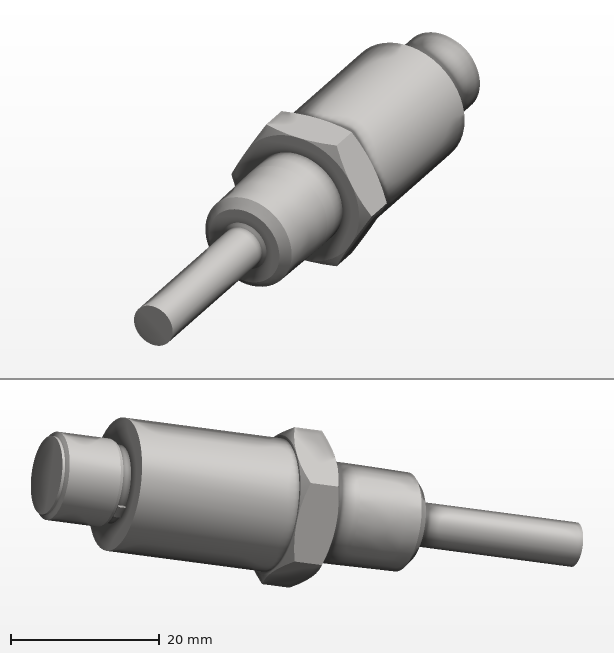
import cadquery as cq
import math

overall_length = 77.4
rear_y = overall_length / 2
front_y = -overall_length / 2

plug_radius = 6.0
neck_radius = 5.35
plug_tip_length = 0.4
plug_rear_chamfer_length = 0.4
plug_length = 8.75
plug_front_chamfer = 0.5
plug_front_radius = 5.8
neck_length = 1.3

body_radius = 9.05
body_length = 23.1

hex_across_flats = 19.0
hex_length = 5.7
hex_chamfer_angle = 30

spigot_radius = 6.9
spigot_straight_length = 4.1
spigot_taper_length = 9.1
spigot_small_radius = 6.7
spigot_chamfer_length = 1.15
spigot_face_radius = 5.5

cable_radius = 3.0
seal_radius = 3.5
seal_length = 0.5

lug_width = 1.85
lug_length = 1.1
lug_top_radius = 5.65
lug_tilt_from_z = 30

plug_front_y = rear_y - plug_length
body_rear_y = plug_front_y - neck_length
hex_rear_y = body_rear_y - body_length
hex_front_y = hex_rear_y - hex_length
taper_start_y = hex_front_y - spigot_straight_length
taper_end_y = taper_start_y - spigot_taper_length
spigot_face_y = taper_end_y - spigot_chamfer_length


def revolve_profile(points):
    """Turn a closed (radius, y) outline about the Y axis."""
    return cq.Workplane("XY").polyline(points).close().revolve(360, (0, 0, 0), (0, 1, 0))


def turned_body():
    chamfer_start_y = rear_y - plug_tip_length
    return revolve_profile([
        (0, rear_y),
        (neck_radius, rear_y),
        (neck_radius, chamfer_start_y),
        (plug_radius, chamfer_start_y - plug_rear_chamfer_length),
        (plug_radius, plug_front_y + plug_front_chamfer),
        (plug_front_radius, plug_front_y),
        (neck_radius, plug_front_y),
        (neck_radius, body_rear_y),
        (body_radius, body_rear_y),
        (body_radius, hex_rear_y),
        (spigot_radius, hex_rear_y),
        (spigot_radius, taper_start_y),
        (spigot_small_radius, taper_end_y),
        (spigot_face_radius, spigot_face_y),
        (seal_radius, spigot_face_y),
        (cable_radius, spigot_face_y - seal_length),
        (cable_radius, front_y),
        (0, front_y),
    ])


def hexagon():
    """Hexagon with corners on +X and -X, both ends turned down to the flats."""
    corner_radius = hex_across_flats / 2 / math.cos(math.pi / 6)
    face_radius = hex_across_flats / 2
    corner_setback = (corner_radius - face_radius) * math.tan(math.radians(hex_chamfer_angle))
    prism = (
        cq.Workplane("XZ", origin=(0, hex_rear_y, 0))
        .polygon(6, 2 * corner_radius)
        .extrude(hex_length)
    )
    envelope = revolve_profile([
        (0, hex_rear_y),
        (face_radius, hex_rear_y),
        (corner_radius, hex_rear_y - corner_setback),
        (corner_radius, hex_front_y + corner_setback),
        (face_radius, hex_front_y),
        (0, hex_front_y),
    ])
    return prism.intersect(envelope)


def neck_lugs():
    """Bar through the neck whose two ends stand proud as lugs."""
    return (
        cq.Workplane("XY")
        .box(lug_width, lug_length, 2 * lug_top_radius)
        .rotate((0, 0, 0), (0, 1, 0), lug_tilt_from_z)
        .translate((0, body_rear_y + lug_length / 2, 0))
    )


result = turned_body().union(hexagon()).union(neck_lugs())